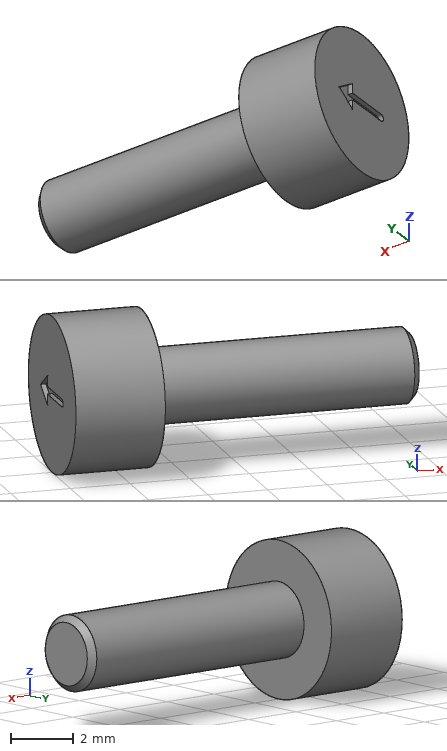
import cadquery as cq

total_length = 12.0
head_length = 3.0
head_diameter = 5.2
shank_diameter = 2.5
tip_chamfer = 0.22

arrow_tip_y = 1.25
arrow_base_y = 0.52
arrow_tail_y = -1.19
arrow_width = 0.97
stem_width = 0.25
engraving_depth = 0.18

shank_length = total_length - head_length


def make_head():
    """Plain cylindrical head on the X axis, ending where the shank starts."""
    return cq.Workplane("YZ").circle(head_diameter / 2).extrude(head_length)


def make_shank():
    """Shank with a chamfered free end, starting at the inner face of the head."""
    shank = (
        cq.Workplane("YZ")
        .workplane(offset=head_length)
        .circle(shank_diameter / 2)
        .extrude(shank_length)
    )
    return shank.faces(">X").chamfer(tip_chamfer)


def make_arrow():
    """Arrow with a pointed end and a round tail, as a solid to cut from the head."""
    half_arrow = arrow_width / 2
    half_stem = stem_width / 2
    tail_centre_y = arrow_tail_y + half_stem
    return (
        cq.Workplane("YZ")
        .moveTo(arrow_tip_y, 0)
        .lineTo(arrow_base_y, half_arrow)
        .lineTo(arrow_base_y, half_stem)
        .lineTo(tail_centre_y, half_stem)
        .threePointArc((arrow_tail_y, 0), (tail_centre_y, -half_stem))
        .lineTo(arrow_base_y, -half_stem)
        .lineTo(arrow_base_y, -half_arrow)
        .close()
        .extrude(engraving_depth)
    )


result = make_head().union(make_shank()).cut(make_arrow())